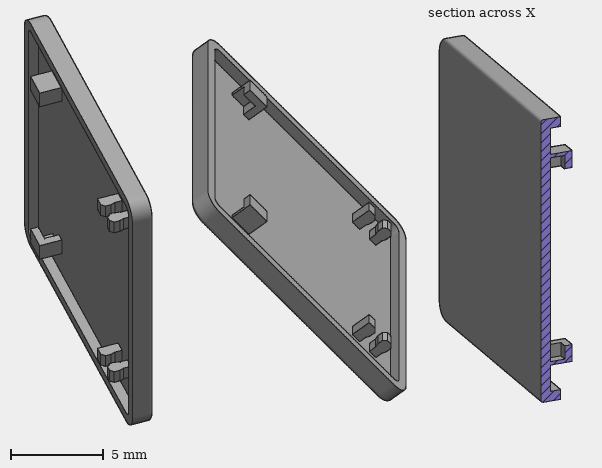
import cadquery as cq

side = 16.5
total_depth = 1.86
plate_depth = 1.19
corner_radius = 0.99
back_edge_radius = 0.2

rim_width = 0.6
recess_depth = 0.6
recess_side = side - 2 * rim_width
recess_radius = corner_radius - rim_width
floor_y = recess_depth - plate_depth

clip_left = -5.53
clip_width = 1.4
clip_outer_z = 6.15
clip_height = 1.0
clip_front_wall = 0.45
clip_outer_wall = 0.23
clip_right_wall = 0.45

peg_width = 0.7
peg_height = 0.8
peg_inner_z = clip_outer_z - clip_height
peg_protrusion = 0.6
peg_chamfer = 0.2
hook_overhang = 0.08
hook_slope_length = 0.25
hook_length = 0.53
peg_pitch = 1.34
first_peg_left = 4.49


def box(x_min, x_max, y_min, y_max, z_min, z_max):
    """Axis-aligned box between the given limits."""
    solid = cq.Workplane("XY").box(x_max - x_min, y_max - y_min, z_max - z_min, centered=False)
    return solid.translate((x_min, y_min, z_min))


def make_plate():
    """Rounded plate with a softened back edge and a shallow recess."""
    plate = cq.Workplane("XZ").rect(side, side).extrude(plate_depth)
    plate = plate.edges("|Y").fillet(corner_radius)
    plate = plate.faces(">Y").edges().fillet(back_edge_radius)
    recess = cq.Workplane("XZ", origin=(0, floor_y, 0)).rect(recess_side, recess_side).extrude(recess_depth)
    return plate.cut(recess.edges("|Y").fillet(recess_radius))


def make_clip():
    """Upper clip: front, outer and right walls around an open corner pocket."""
    right = clip_left + clip_width
    inner_z = clip_outer_z - clip_height
    block = box(clip_left, right, -total_depth, floor_y, inner_z, clip_outer_z)
    pocket = box(
        clip_left, right - clip_right_wall,
        clip_front_wall - total_depth, floor_y,
        inner_z, clip_outer_z - clip_outer_wall,
    )
    return block.cut(pocket)


def make_undercut(hook_x, direction):
    """Prism that narrows a peg stem below the hook facing along X in the given direction."""
    hook_y = -plate_depth - peg_protrusion + hook_length
    stem_x = hook_x - direction * hook_overhang
    profile = [
        (hook_x, hook_y),
        (stem_x, hook_y + hook_slope_length),
        (stem_x, floor_y),
        (hook_x, floor_y),
    ]
    return cq.Workplane("XY", origin=(0, 0, peg_inner_z)).polyline(profile).close().extrude(peg_height)


def make_peg(left, hook_directions):
    """Upper peg with a chamfered tip and a sloped hook on each given X side (-1 or +1)."""
    tip_y = -plate_depth - peg_protrusion
    center_x = left + peg_width / 2
    peg = box(left, left + peg_width, tip_y, floor_y, peg_inner_z, peg_inner_z + peg_height)
    for direction in hook_directions:
        side_edge = ">X" if direction > 0 else "<X"
        peg = peg.faces("<Y").edges(side_edge).chamfer(peg_chamfer)
        peg = peg.cut(make_undercut(center_x + direction * peg_width / 2, direction))
    return peg


upper_features = [
    make_clip(),
    make_peg(first_peg_left, [1]),
    make_peg(first_peg_left + peg_pitch, [-1, 1]),
]

result = make_plate()
for feature in upper_features:
    result = result.union(feature).union(feature.mirror("XY"))